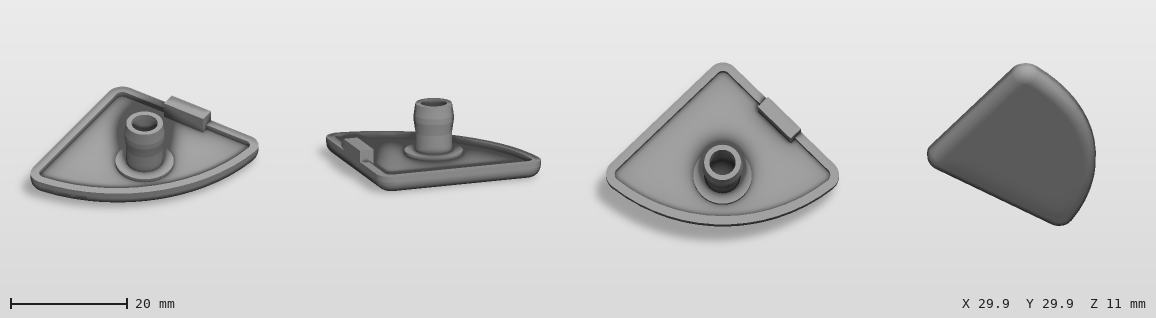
import cadquery as cq
import math

plate_extent = 29.85
corner_radius = 2.75
plate_height = 3.0
underside_fillet = 2.03
left_x = -plate_extent / 2
back_y = plate_extent / 2

rim_width = 1.5
recess_depth = 1.0
floor_z = plate_height - recess_depth

block_length = 8.0
block_width = 2.5
block_rise = 2.0

stem_offset = 14.98
stem_x = left_x + stem_offset
stem_y = back_y - stem_offset
flange_diameter = 10.0
flange_height = 0.7
stem_radius = 6.3 / 2
bulge_radius = 6.9 / 2
bore_radius = 4.5 / 2
total_height = 11.0
taper_height = 2.03
band_height = 0.99
band_top_z = total_height - taper_height
band_bottom_z = band_top_z - band_height
neck_top_z = band_bottom_z - taper_height
bore_bottom_z = floor_z


def rounded_sector(inset, bottom_z, height):
    """Quarter disc with three rounded corners, offset inwards by inset."""
    radius = corner_radius - inset
    near = corner_radius
    far = plate_extent - corner_radius
    center_distance = math.hypot(near, far)
    arc_radius = center_distance + radius
    tangent_x = arc_radius * far / center_distance
    tangent_y = arc_radius * near / center_distance
    arc_middle = arc_radius * math.sqrt(0.5)
    diagonal = radius * math.sqrt(0.5)
    half_angle = (math.pi / 2 + math.atan2(-near, far)) / 2
    turn_long = radius * math.cos(half_angle)
    turn_short = radius * math.sin(half_angle)
    return (
        cq.Workplane("XY", origin=(left_x, back_y, bottom_z))
        .moveTo(near, -inset)
        .lineTo(far, -inset)
        .threePointArc((far + turn_long, -near + turn_short), (tangent_x, -tangent_y))
        .threePointArc((arc_middle, -arc_middle), (tangent_y, -tangent_x))
        .threePointArc((near - turn_short, -far - turn_long), (inset, -far))
        .lineTo(inset, -near)
        .threePointArc((near - diagonal, -near + diagonal), (near, -inset))
        .close()
        .extrude(height)
    )


def make_plate():
    plate = rounded_sector(0, 0, plate_height).faces("<Z").edges().fillet(underside_fillet)
    return plate.cut(rounded_sector(rim_width, floor_z, recess_depth))


def make_block():
    return (
        cq.Workplane("XY", origin=(stem_x, back_y - block_width / 2, floor_z))
        .rect(block_length, block_width)
        .extrude(recess_depth + block_rise)
    )


def make_flange():
    return (
        cq.Workplane("XY", origin=(stem_x, stem_y, floor_z))
        .circle(flange_diameter / 2)
        .extrude(flange_height)
    )


def make_stem():
    """Turned stem with conical tapers above and below a cylindrical band."""
    return (
        cq.Workplane("XZ", origin=(stem_x, stem_y, 0))
        .moveTo(0, floor_z)
        .lineTo(stem_radius, floor_z)
        .lineTo(stem_radius, neck_top_z)
        .lineTo(bulge_radius, band_bottom_z)
        .lineTo(bulge_radius, band_top_z)
        .lineTo(stem_radius, total_height)
        .lineTo(0, total_height)
        .close()
        .revolve(360, (0, 0, 0), (0, 1, 0))
    )


def make_bore():
    """Blind bore with a hemispherical bottom."""
    dome_z = bore_bottom_z + bore_radius
    diagonal = bore_radius * math.sqrt(0.5)
    return (
        cq.Workplane("XZ", origin=(stem_x, stem_y, 0))
        .moveTo(0, bore_bottom_z)
        .threePointArc((diagonal, dome_z - diagonal), (bore_radius, dome_z))
        .lineTo(bore_radius, total_height)
        .lineTo(0, total_height)
        .close()
        .revolve(360, (0, 0, 0), (0, 1, 0))
    )


result = make_plate().union(make_block()).union(make_flange()).union(make_stem()).cut(make_bore())